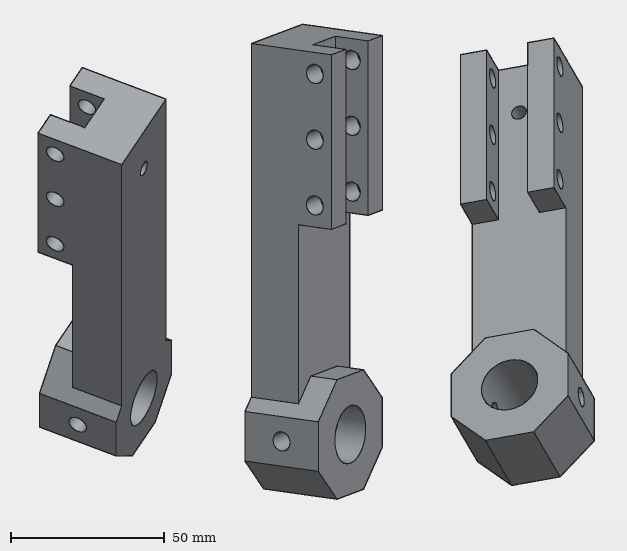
import cadquery as cq
import math

total_height = 150.56
total_depth = 30.54

arm_width = 32.0
web_depth = 18.0

hub_sides = 8
hub_across_flats = 40.0
hub_depth = 28.0
bore_diameter = 19.2
pin_hole_diameter = 6.4

slot_width = 14.0
clevis_hole_diameter = 6.4
clevis_hole_count = 3
clevis_hole_pitch = 22.0
clevis_hole_from_top = 7.2
clevis_depth = total_depth - web_depth
clevis_height = 2 * clevis_hole_from_top + (clevis_hole_count - 1) * clevis_hole_pitch

web_hole_diameter = 5.0
web_hole_from_top = 18.0

front_x = 0.0
back_x = front_x + total_depth
web_x = back_x - web_depth
hub_x = back_x - hub_depth
hub_center_z = hub_across_flats / 2
clevis_z = total_height - clevis_height


def box(x_min, x_max, width, z_min, z_max):
    """Box with its width centred on Y = 0."""
    corner = cq.Workplane("XY", origin=(x_min, 0, z_min))
    return corner.box(x_max - x_min, width, z_max - z_min, centered=(False, True, False))


def cross_hole(x, z, diameter):
    """Cylinder along Y that passes through the full width of the part."""
    plane = cq.Workplane("XZ", origin=(x, 0, z))
    return plane.circle(diameter / 2).extrude(hub_across_flats, both=True)


def lengthwise_hole(z, diameter):
    """Cylinder along X that passes through the full depth of the part."""
    plane = cq.Workplane("YZ", origin=(front_x, 0, z))
    return plane.circle(diameter / 2).extrude(total_depth)


def make_arm():
    """Straight web, running down into the hub, with two clevis cheeks on its front face."""
    web = box(web_x, back_x, arm_width, hub_center_z, total_height)
    cheeks = box(front_x, web_x, arm_width, clevis_z, total_height)
    slot = box(front_x, web_x, slot_width, clevis_z, total_height)
    return web.union(cheeks.cut(slot))


def make_hub():
    """Octagonal prism along X with flats facing up, down and sideways."""
    half_side_angle = math.pi / hub_sides
    across_corners = hub_across_flats / math.cos(half_side_angle)
    plane = cq.Workplane("YZ", origin=(hub_x, 0, hub_center_z))
    turned = plane.transformed(rotate=(0, 0, math.degrees(half_side_angle)))
    return turned.polygon(hub_sides, across_corners).extrude(hub_depth)


def cut_hub_holes(body):
    """Main bore, and a pin hole crossing it at the middle of the hub depth."""
    bore = lengthwise_hole(hub_center_z, bore_diameter)
    pin_hole = cross_hole(hub_x + hub_depth / 2, hub_center_z, pin_hole_diameter)
    return body.cut(bore).cut(pin_hole)


def cut_clevis_holes(body):
    """Row of holes through both cheeks."""
    hole_x = front_x + clevis_depth / 2
    for index in range(clevis_hole_count):
        hole_z = total_height - clevis_hole_from_top - index * clevis_hole_pitch
        body = body.cut(cross_hole(hole_x, hole_z, clevis_hole_diameter))
    return body


def cut_web_hole(body):
    """Single hole through the web between the cheeks."""
    return body.cut(lengthwise_hole(total_height - web_hole_from_top, web_hole_diameter))


result = make_arm().union(make_hub())
result = cut_hub_holes(result)
result = cut_clevis_holes(result)
result = cut_web_hole(result)